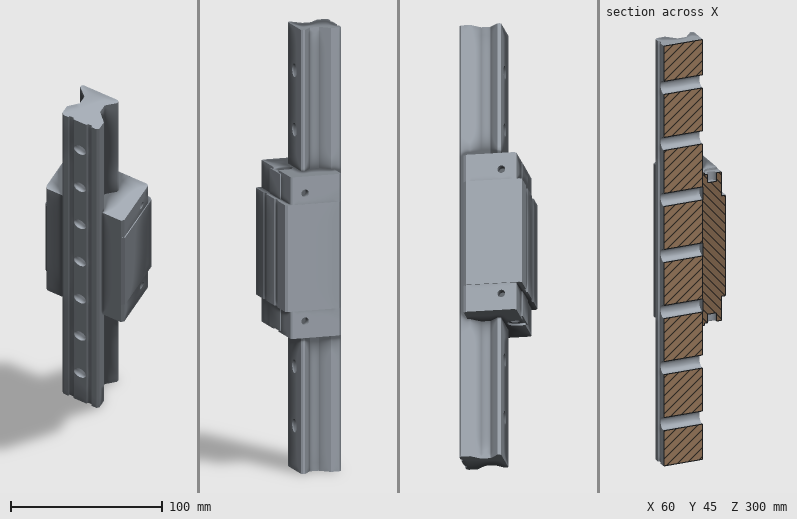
import cadquery as cq


rail_length = 300.0
rail_width = 28.0
rail_height = 28.2
rail_base_chamfer = 1.5
rail_crown_chamfer = 1.0
shoulder_y = 7.5
waist_width = 15.3
waist_bottom_y = 13.8
waist_top_y = 20.0
head_y = 25.8
base_groove_outer = 8.7
base_groove_inner = 4.8
base_groove_depth = 1.2
base_groove_outer_slope = 0.3
base_groove_inner_slope = 1.0
bolt_hole_diameter = 9.0
bolt_hole_count = 7
bolt_hole_end_margin = 30.0
bolt_hole_pitch = (rail_length - 2 * bolt_hole_end_margin) / (bolt_hole_count - 1)

body_width = 60.0
body_length = 72.0
carriage_bottom_y = 5.7
carriage_top_y = 45.0
body_top_chamfer = 1.5
bottom_face_width = 55.8
bottom_chamfer_height = 1.8
top_groove_outer = 13.8
top_groove_inner = 7.8
top_groove_depth = 1.0

carriage_length = 109.2
cap_width = 58.8
cap_top_y = 41.0
cap_top_chamfer = 1.2
pad_width = 19.8
pad_height = 1.0
pad_setback = 1.5
recess_width = 10.2
recess_depth = 1.5
port_diameter = 6.3
port_depth = 6.0
port_y = 35.0
side_hole_diameter = 5.0
side_hole_depth = 6.0
side_hole_y = 31.2
side_hole_z = 43.2


def mirrored_prism(right_half, length):
    """Extrude an outline, given by its +X half from bottom to top, symmetrically along Z."""
    left_half = [(-x, y) for x, y in reversed(right_half)]
    return cq.Workplane("XY").polyline(right_half + left_half).close().extrude(length / 2, both=True)


def centered_box(x_min, x_max, y_min, y_max, length):
    """Box spanning the given X and Y ranges, centered along Z."""
    return (
        cq.Workplane("XY")
        .center((x_min + x_max) / 2, (y_min + y_max) / 2)
        .rect(x_max - x_min, y_max - y_min)
        .extrude(length / 2, both=True)
    )


def rail_blank(length):
    """Rail section without base grooves or bolt holes."""
    half = rail_width / 2
    waist_half = waist_width / 2
    return mirrored_prism(
        [
            (half - rail_base_chamfer, 0),
            (half, rail_base_chamfer),
            (half, shoulder_y),
            (waist_half, waist_bottom_y),
            (waist_half, waist_top_y),
            (half, head_y),
            (half, rail_height - rail_crown_chamfer),
            (half - rail_crown_chamfer, rail_height),
        ],
        length,
    )


def base_grooves():
    """Two trapezoidal grooves along the rail base."""
    right = (
        cq.Workplane("XY")
        .polyline([
            (base_groove_inner, 0),
            (base_groove_outer, 0),
            (base_groove_outer - base_groove_outer_slope, base_groove_depth),
            (base_groove_inner + base_groove_inner_slope, base_groove_depth),
        ])
        .close()
        .extrude(rail_length / 2, both=True)
    )
    return right.union(right.mirror("YZ"))


def bolt_holes():
    """Row of holes through the rail along Y."""
    first_z = -rail_length / 2 + bolt_hole_end_margin
    centers = [(0, first_z + i * bolt_hole_pitch) for i in range(bolt_hole_count)]
    return (
        cq.Workplane("XZ")
        .pushPoints(centers)
        .circle(bolt_hole_diameter / 2)
        .extrude(-rail_height)
    )


def make_rail():
    return rail_blank(rail_length).cut(base_grooves()).cut(bolt_holes())


def carriage_block(width, length, top_y, top_chamfer):
    """Block with chamfered long edges; every block shares the same flat bottom."""
    half = width / 2
    return mirrored_prism(
        [
            (bottom_face_width / 2, carriage_bottom_y),
            (half, carriage_bottom_y + bottom_chamfer_height),
            (half, top_y - top_chamfer),
            (half - top_chamfer, top_y),
        ],
        length,
    )


def top_grooves():
    """Two shallow grooves along the mounting face."""
    right = centered_box(
        top_groove_inner, top_groove_outer, carriage_top_y - top_groove_depth, carriage_top_y, body_length
    )
    return right.union(right.mirror("YZ"))


def lubrication_port():
    """U-shaped recess, open at the top of the cap, with a blind port in the +Z end face."""
    end_z = carriage_length / 2
    floor_z = end_z - recess_depth
    slot_height = cap_top_y - port_y
    recess = (
        cq.Workplane("XY", origin=(0, port_y, floor_z))
        .circle(recess_width / 2)
        .extrude(recess_depth)
        .union(
            cq.Workplane("XY", origin=(0, port_y + slot_height / 2, floor_z))
            .rect(recess_width, slot_height)
            .extrude(recess_depth)
        )
    )
    port = (
        cq.Workplane("XY", origin=(0, port_y, floor_z))
        .circle(port_diameter / 2)
        .extrude(-port_depth)
    )
    return recess.union(port)


def side_holes():
    """Blind hole in each side face of both end caps."""
    left = (
        cq.Workplane("YZ", origin=(-cap_width / 2, 0, 0))
        .pushPoints([(side_hole_y, -side_hole_z), (side_hole_y, side_hole_z)])
        .circle(side_hole_diameter / 2)
        .extrude(side_hole_depth)
    )
    return left.union(left.mirror("YZ"))


def make_carriage():
    body = carriage_block(body_width, body_length, carriage_top_y, body_top_chamfer).cut(top_grooves())
    caps = carriage_block(cap_width, carriage_length, cap_top_y, cap_top_chamfer)
    pad = centered_box(
        -pad_width / 2, pad_width / 2, cap_top_y, cap_top_y + pad_height, carriage_length - 2 * pad_setback
    )
    port = lubrication_port()
    return (
        body.union(caps)
        .union(pad)
        .cut(port)
        .cut(port.mirror("XY"))
        .cut(side_holes())
        .cut(rail_blank(carriage_length))
    )


rail = make_rail()
carriage = make_carriage()

result = cq.Compound.makeCompound([rail.val(), carriage.val()])